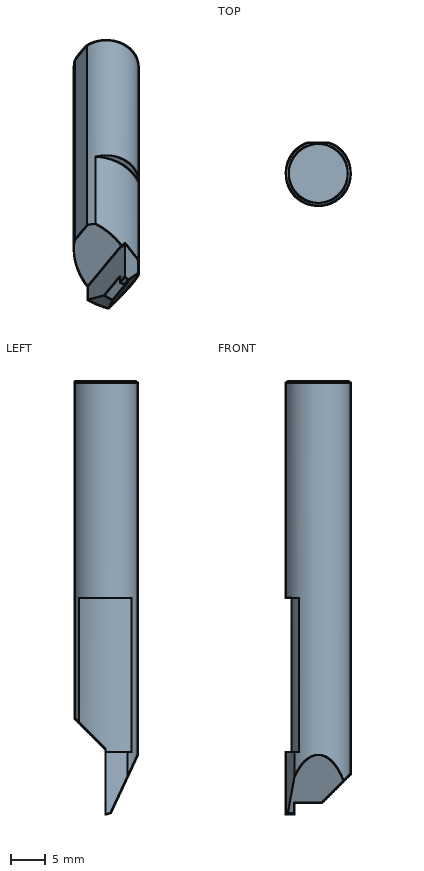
import cadquery as cq
import math

length = 63.5
shank_radius = 4.75
flat_y = 4.5
top_chamfer_width = 0.45
top_chamfer_height = 0.3

relief_bottom = 9.2
relief_top = 31.75
relief_floor_x = -3.95
relief_floor_radius = 7.1

rake_root_z = 9.6
front_slope_angle = 65.0
front_slope_top = 8.75
flank_inner_x = -3.5
tip_width = shank_radius + flank_inner_x
body_bottom = 1.7
back_chamfer_top = 6.0
tip_end_rise = 0.25

reach = 2 * shank_radius


def make_shank():
    """Chamfered bar with a full-length flat."""
    bar = cq.Workplane("XY").circle(shank_radius).extrude(length)
    bar = bar.faces(">Z").chamfer(top_chamfer_height, top_chamfer_width)
    beyond_flat = cq.Workplane("XY").box(2 * reach, reach, length, centered=(True, False, False))
    return bar.cut(beyond_flat.translate((0, flat_y, 0)))


def side_relief():
    """Material outside the convex floor, between the two relief ends."""
    height = relief_top - relief_bottom
    core_x = relief_floor_x + relief_floor_radius
    outside = cq.Workplane("XY").box(reach, 2 * reach, height, centered=(True, True, False))
    outside = outside.translate((-reach / 2, 0, 0))
    core = cq.Workplane("XY").center(core_x, 0).circle(relief_floor_radius).extrude(height)
    return outside.cut(core).translate((0, 0, relief_bottom))


def end_side_profile():
    """Bar kept in the YZ plane: rake face, 45 degree run-out and front slope."""
    slope_drop = front_slope_top - tip_end_rise
    tip_end_y = slope_drop / math.tan(math.radians(front_slope_angle)) - shank_radius
    points = [
        (0, 0),
        (tip_end_y, tip_end_rise),
        (-shank_radius, front_slope_top),
        (-shank_radius, length),
        (shank_radius, length),
        (shank_radius, rake_root_z + shank_radius),
        (0, rake_root_z),
    ]
    return cq.Workplane("YZ").polyline(points).close().extrude(reach, both=True)


def end_corner_cut():
    """Step beside the tip and 45 degree chamfer on the +X side."""
    chamfer_run = back_chamfer_top - body_bottom
    points = [
        (-shank_radius + tip_width, 0),
        (-shank_radius + tip_width, body_bottom),
        (shank_radius - chamfer_run, body_bottom),
        (shank_radius, back_chamfer_top),
        (reach, back_chamfer_top),
        (reach, 0),
    ]
    return cq.Workplane("XZ").polyline(points).close().extrude(reach, both=True)


def flank_cut():
    """Flat clearance face falling away from the cutting edge on the -X side."""
    flank_y = -math.sqrt(shank_radius**2 - flank_inner_x**2)
    points = [
        (-shank_radius, 0),
        (flank_inner_x, flank_y),
        (flank_inner_x, -reach),
        (-reach, -reach),
        (-reach, 0),
    ]
    return cq.Workplane("XY").polyline(points).close().extrude(relief_bottom)


result = make_shank().cut(side_relief()).intersect(end_side_profile())
result = result.cut(end_corner_cut()).cut(flank_cut())